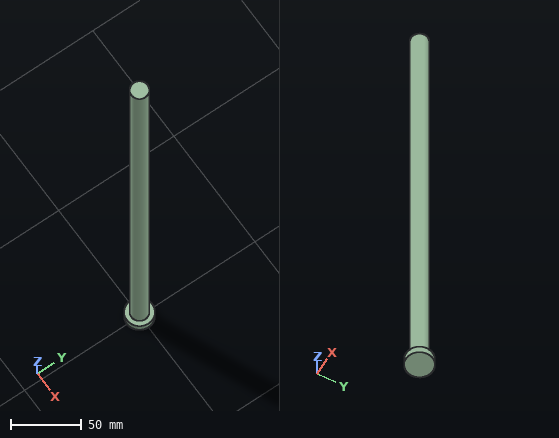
import cadquery as cq

total_length = 400.0
head_diameter = 22.0
head_thickness = 7.0
shaft_diameter = 14.0

shaft = cq.Workplane("XY").circle(shaft_diameter / 2).extrude(total_length)
head = cq.Workplane("XY").circle(head_diameter / 2).extrude(head_thickness)

result = head.union(shaft)